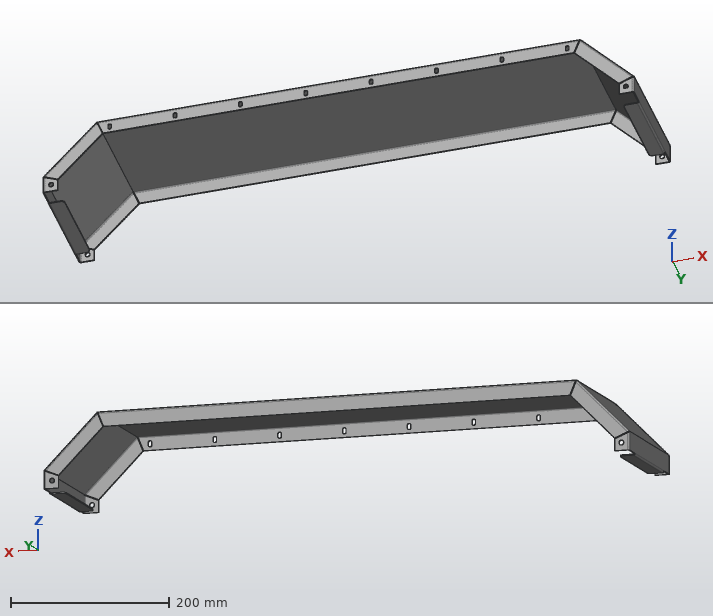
import cadquery as cq
import math

length = 778.5
width = 163.0
height = 97.0

sheet = 1.5
bend_radius = 2.0
inner_radius = bend_radius - sheet
flange_depth = 19.5

slope_angle = 45.0
slope_run = 71.0
wall_top = height - slope_run * math.tan(math.radians(slope_angle))
wall_bottom = bend_radius
miter_slope = math.tan(math.radians(slope_angle / 2))

miter_gap = 1.0

slot_count = 8
slot_row_length = 603.0
slot_pitch = slot_row_length / (slot_count - 1)
slot_width = 5.0
slot_height = 8.0
slot_drop = 11.0

hole_diameter = 6.0
hole_inset = 11.0
hole_z = 12.5

lip_width = 117.0
lip_depth = 21.0
lip_corner = 5.0


def half_profile(offset):
    """Left half of the bent profile, shifted inward by offset, from the bottom up."""
    left = -length / 2
    return [
        (left + offset, wall_bottom),
        (left + offset, wall_top - offset * miter_slope),
        (left + slope_run + offset * miter_slope, height - offset),
    ]


def full_profile(offset):
    left_half = half_profile(offset)
    right_half = [(-x, z) for x, z in reversed(left_half)]
    return left_half + right_half


def band(outer_offset, inner_offset, band_width):
    """Prism between two offsets of the bent profile, centred on Y = 0."""
    outline = full_profile(outer_offset) + full_profile(inner_offset)[::-1]
    return cq.Workplane("XZ").polyline(outline).close().extrude(band_width / 2, both=True)


def round_long_edges(body, offset, band_width, radius):
    """Round the long edges where the plates turn into the side flanges."""
    points = full_profile(offset)
    long_edges = []
    for y in (-band_width / 2, band_width / 2):
        for (x1, z1), (x2, z2) in zip(points, points[1:]):
            middle = ((x1 + x2) / 2, y, (z1 + z2) / 2)
            nearest = cq.selectors.NearestToPointSelector(middle)
            long_edges += body.edges(nearest).vals()
    return body.newObject(long_edges).fillet(radius)


def make_cover():
    outer = round_long_edges(band(0, flange_depth, width), 0, width, bend_radius)
    cavity_width = width - 2 * sheet
    cavity = band(sheet, 2 * flange_depth, cavity_width)
    return outer.cut(round_long_edges(cavity, sheet, cavity_width, inner_radius))


def cut_miter_gaps(body):
    """Part the neighbouring side flanges and their rounded bends along each miter line."""
    core = cq.Workplane("XY").box(length, width - 2 * bend_radius, 2 * height)
    starts = half_profile(0)[1:]
    ends = half_profile(2 * flange_depth)[1:]
    for (x1, z1), (x2, z2) in zip(starts, ends):
        run = math.hypot(x2 - x1, z2 - z1)
        angle = math.degrees(math.atan2(z2 - z1, x2 - x1))
        slit = (
            cq.Workplane("XY")
            .box(run, width, miter_gap, centered=(False, True, True))
            .rotate((0, 0, 0), (0, 1, 0), -angle)
            .translate((x1, 0, z1))
            .cut(core)
        )
        body = body.cut(slit).cut(slit.mirror("YZ"))
    return body


def make_slots():
    """Row of slots through the front flange only."""
    return (
        cq.Workplane("XZ", origin=(0, -width / 2 + bend_radius, height - slot_drop))
        .rarray(slot_pitch, 8, slot_count, 1)
        .slot2D(slot_height, slot_width, 90)
        .extrude(2 * bend_radius)
    )


def make_tab_holes():
    hole_x = length / 2 - hole_inset
    return (
        cq.Workplane("XZ")
        .pushPoints([(-hole_x, hole_z), (hole_x, hole_z)])
        .circle(hole_diameter / 2)
        .extrude(width, both=True)
    )


def make_left_lip():
    """Inward lip under the left end wall, with its bend and rounded free corners."""
    left = -length / 2
    bend_x = left + bend_radius
    tip_x = left + lip_depth
    outer_reach = bend_radius * math.sqrt(0.5)
    inner_reach = inner_radius * math.sqrt(0.5)
    section = (
        cq.Workplane("XZ")
        .moveTo(left, bend_radius)
        .threePointArc((bend_x - outer_reach, bend_radius - outer_reach), (bend_x, 0))
        .lineTo(tip_x, 0)
        .lineTo(tip_x, sheet)
        .lineTo(bend_x, sheet)
        .threePointArc(
            (bend_x - inner_reach, bend_radius - inner_reach),
            (left + sheet, bend_radius),
        )
        .close()
    )
    lip = section.extrude(lip_width / 2, both=True)
    return lip.edges("|Z and >X").fillet(lip_corner)


left_lip = make_left_lip()
result = (
    cut_miter_gaps(make_cover())
    .cut(make_slots())
    .cut(make_tab_holes())
    .union(left_lip)
    .union(left_lip.mirror("YZ"))
)